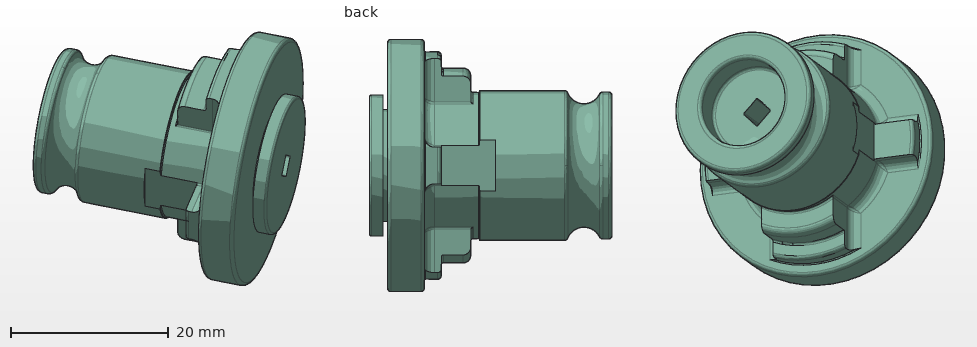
import cadquery as cq


body_end = 16.8
flat_start = 14.8
tall_lug_front = 17.92
lug_shoulder = 21.65
flange_front = 23.8
flange_back = 28.48
rear_neck_end = 29.02
total_length = 30.8

head_diameter = 18.65
body_diameter = 19.0
neck_diameter = 18.6
lug_step_diameter = 24.7
lug_diameter = 28.85
flange_diameter = 32.0
rear_neck_diameter = 14.2
rear_disc_diameter = 17.9

groove_floor_diameter = 15.68
groove_radius = 2.2
groove_center = 3.6

tall_lug_width = 9.85
side_lug_width = 4.65
flats_across = 17.9

bore_diameter = 11.4
bore_depth = 3.9
floor_dome_depth = 0.93
square_side = 2.65

rim_fillet = 0.48
body_end_fillet = 0.05
neck_start_fillet = 0.13
flange_edge_fillet = 0.45
disc_edge_fillet = 0.3
flange_root_fillet = 1.3
lug_root_fillet = 0.25
lug_edge_fillet = 0.45
lug_back_fillet = 0.15
lug_step_edge_fillet = 0.95
lug_step_root_fillet = 0.3
bore_floor_fillet = 0.45
square_corner_fillet = 0.15

margin = 0.03


def disc(start, end, diameter):
    """Cylinder around the X axis between two stations."""
    return cq.Workplane("YZ", origin=(start, 0, 0)).circle(diameter / 2).extrude(end - start)


def bar(start, end, size_y, size_z):
    """Rectangular block around the X axis between two stations."""
    return cq.Workplane("YZ", origin=(start, 0, 0)).rect(size_y, size_z).extrude(end - start)


def zone(start, end, half_size):
    """Selector for edges that lie wholly inside a box around the X axis."""
    return cq.selectors.BoxSelector(
        (start - margin, -half_size - margin, -half_size - margin),
        (end + margin, half_size + margin, half_size + margin),
        boundingbox=True,
    )


def rim(station, diameter):
    """Selector for the circular edges in one plane, up to a given diameter."""
    return zone(station, station, diameter / 2)


def make_barrel():
    """Head and body with the rounded groove between them."""
    barrel = disc(0, groove_center, head_diameter)
    barrel = barrel.union(disc(groove_center, body_end, body_diameter))
    groove = cq.Workplane(
        cq.Solid.makeTorus(
            groove_floor_diameter / 2 + groove_radius,
            groove_radius,
            cq.Vector(groove_center, 0, 0),
            cq.Vector(1, 0, 0),
        )
    )
    barrel = barrel.cut(groove)
    front_and_groove_rims = barrel.edges("%CIRCLE").edges(zone(0, body_end - 0.32, body_diameter / 2))
    return front_and_groove_rims.fillet(rim_fillet)


def make_lug_limit():
    """Stepped ring with rounded edges that gives the lugs their outer shape."""
    ring = disc(tall_lug_front, lug_shoulder, lug_step_diameter)
    ring = ring.union(disc(lug_shoulder, flange_front, lug_diameter))
    ring = ring.edges(rim(tall_lug_front, lug_diameter)).fillet(lug_step_edge_fillet)
    ring = ring.edges(rim(lug_shoulder, lug_step_diameter)).fillet(lug_step_root_fillet)
    return ring.edges(rim(lug_shoulder, lug_diameter)).fillet(lug_edge_fillet)


def make_flange():
    """Round flange with both outer edges rounded."""
    return disc(flange_front, flange_back, flange_diameter).edges("%CIRCLE").fillet(flange_edge_fillet)


def make_neck_lugs_and_flange():
    """Neck and four lugs that flare into the flange.

    The lugs and the flange start oversize, so that the root fillets run past
    the outer faces, and are then trimmed to their final outlines.
    """
    oversize = 2 * flange_diameter
    lug_span = 1.5 * flange_diameter
    block = disc(body_end, flange_front, neck_diameter)
    block = block.union(bar(tall_lug_front, flange_front, tall_lug_width, lug_span))
    block = block.union(bar(lug_shoulder, flange_front, lug_span, side_lug_width))
    block = block.union(disc(flange_front, flange_back, oversize))

    flange_roots = zone(flange_front, flange_front, lug_span / 2)
    lug_roots = zone(tall_lug_front, flange_front, neck_diameter / 2) - flange_roots
    block = block.edges(lug_roots).fillet(lug_root_fillet)
    block = block.edges(flange_roots).fillet(flange_root_fillet)

    limit = make_lug_limit().union(make_flange())
    limit = limit.edges(rim(flange_front, lug_diameter)).fillet(lug_back_fillet)
    limit = limit.union(disc(body_end, flange_front, neck_diameter + 2 * lug_root_fillet))
    return block.intersect(limit)


def make_rear_disc():
    """Short rear neck and the disc behind it."""
    rear_neck = disc(flange_back, rear_neck_end, rear_neck_diameter)
    rear_disc = disc(rear_neck_end, total_length, rear_disc_diameter)
    return rear_neck.union(rear_disc.faces(">X").edges().fillet(disc_edge_fillet))


def make_side_flats():
    """Blocks that cut a flat on each Y side, from the body to the side lugs."""
    flats = bar(flat_start, lug_shoulder, flange_diameter, tall_lug_width)
    return flats.cut(bar(flat_start, lug_shoulder, flats_across, tall_lug_width))


def make_bore():
    """Front bore with a rounded mouth and a rounded, shallow dome for a floor."""
    bore_radius = bore_diameter / 2
    dome_radius = (bore_radius**2 + floor_dome_depth**2) / (2 * floor_dome_depth)
    bore = (
        cq.Workplane("XY")
        .lineTo(0, bore_radius)
        .lineTo(bore_depth, bore_radius)
        .radiusArc((bore_depth + floor_dome_depth, 0), dome_radius)
        .close()
        .revolve(360, (0, 0, 0), (1, 0, 0))
    )
    return bore.edges(rim(bore_depth, bore_diameter)).fillet(bore_floor_fillet)


def make_square_hole():
    """Square through hole with rounded corners that point along Y and Z."""
    square = bar(0, total_length, square_side, square_side).edges("|X").fillet(square_corner_fillet)
    return square.rotate((0, 0, 0), (1, 0, 0), 45)


result = make_barrel().union(make_neck_lugs_and_flange())
result = result.edges(rim(body_end, neck_diameter)).fillet(neck_start_fillet)
result = result.edges(rim(body_end, body_diameter)).fillet(body_end_fillet)
result = result.union(make_rear_disc())
result = result.cut(make_side_flats())
result = result.cut(make_bore())
result = result.edges(rim(0, bore_diameter)).fillet(rim_fillet)
result = result.cut(make_square_hole())